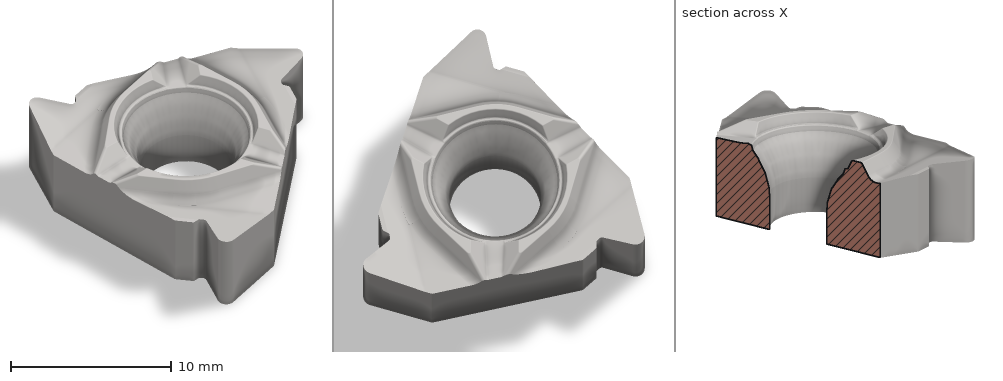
import cadquery as cq
import math

CORNERS = 3
CORNER_ANGLE = 360 / CORNERS

HEIGHT = 6.05
SIDE_DISTANCE = 6.35
FLANK_DISTANCE = 8.25
TIP_RADIUS = 0.57
TIP_REACH = 10.05
NOTCH_Y = 7.22
SHOULDER_Y = 7.57
SHOULDER_START_X = -1.6
NOTCH_END_X = -1.9
NOTCH_RADIUS = 0.25
CORNER_BREAK = 0.15
SIDE_BREAK = 0.25

FLOOR_Z = 4.94
RAKE_START_Y = 5.93
RAKE_ANGLE = 9.6
SHOULDER_FLAT_Y = 7.29
FLOOR_RADIUS = 0.7

BOSS_TOP_DISTANCE = 4.85
BOSS_WALL_ANGLE = 57
BOSS_TURN = 31.7
BOSS_ROUND_CENTER_Y = 0.15
RAKE_BLEND_TURN = 15

SLOT_DIRECTION = 46.8
SLOT_OFFSET = -0.02
SLOT_INNER_RADIUS = 4.1
SLOT_INNER_Z = 5.35
SLOT_TILT = 2
SLOT_INNER_WIDTH = 1.14
SLOT_SIDE_ANGLE = 37
SLOT_FILLET = 0.2
SLOT_EDGE_RADIUS = 0.2
SLOT_START = 2.5
SLOT_END = 9

HOLE_RADIUS = 5.7 / 2
BELL_BOTTOM_Z = 2.3
BELL_TOP_Z = 5.0
BELL_TOP_RADIUS = 3.9
LEDGE_Z = 5.38
LEDGE_INNER_RADIUS = 4.02
LEDGE_OUTER_RADIUS = 4.2
RIM_RADIUS = 4.5
LEDGE_ROUND = 0.1
EDGE_ROUND = 0.08

FAR = 15
TOLERANCE = 0.01


def sin(angle):
    return math.sin(math.radians(angle))


def cos(angle):
    return math.cos(math.radians(angle))


def tan(angle):
    return math.tan(math.radians(angle))


def turned(point, angle):
    x, y = point
    return (x * cos(angle) - y * sin(angle), x * sin(angle) + y * cos(angle))


def at_each_corner(shape):
    copies = shape
    for corner in range(1, CORNERS):
        copies = copies.union(shape.rotate((0, 0, 0), (0, 0, 1), corner * CORNER_ANGLE))
    return copies


def line_crossing(first_angle, first_distance, second_angle, second_distance):
    """Meeting point of two lines given by normal direction and distance from the axis."""
    spread = sin(second_angle - first_angle)
    x = (first_distance * sin(second_angle) - second_distance * sin(first_angle)) / spread
    y = (second_distance * cos(first_angle) - first_distance * cos(second_angle)) / spread
    return (x, y)


LEFT_SIDE = 180
LONG_FLANK = 150
SHORT_FLANK = 30
TOP_FACE = 90
RIGHT_SIDE = LEFT_SIDE - CORNER_ANGLE

TIP_CENTER_DISTANCE = FLANK_DISTANCE - TIP_RADIUS
TIP_CENTER_ALONG = (TIP_REACH - TIP_RADIUS - TIP_CENTER_DISTANCE * cos(SHORT_FLANK)) / sin(SHORT_FLANK)
TIP_CENTER = turned((-TIP_CENTER_ALONG, -TIP_CENTER_DISTANCE), -CORNER_ANGLE)
SHORT_FLANK_DISTANCE = TIP_CENTER[0] * cos(SHORT_FLANK) + TIP_CENTER[1] * sin(SHORT_FLANK) + TIP_RADIUS


def make_body():
    corner_points = [
        line_crossing(LEFT_SIDE, SIDE_DISTANCE, LONG_FLANK, FLANK_DISTANCE),
        line_crossing(LONG_FLANK, FLANK_DISTANCE, SHORT_FLANK, SHORT_FLANK_DISTANCE),
        line_crossing(SHORT_FLANK, SHORT_FLANK_DISTANCE, TOP_FACE, NOTCH_Y),
        (NOTCH_END_X, NOTCH_Y),
        (SHOULDER_START_X, SHOULDER_Y),
        line_crossing(TOP_FACE, SHOULDER_Y, RIGHT_SIDE, SIDE_DISTANCE),
    ]
    radii = [SIDE_BREAK, TIP_RADIUS, NOTCH_RADIUS, CORNER_BREAK, CORNER_BREAK, SIDE_BREAK]
    outline = []
    for corner in range(CORNERS):
        outline += [turned(point, -corner * CORNER_ANGLE) for point in corner_points]
    body = cq.Workplane("XY").polyline(outline).close().extrude(HEIGHT)
    for corner in range(CORNERS):
        for point, radius in zip(corner_points, radii):
            x, y = turned(point, -corner * CORNER_ANGLE)
            edge = cq.selectors.NearestToPointSelector((x, y, HEIGHT / 2))
            body = body.edges(edge).fillet(radius)
    return body


def make_floor():
    """Flat floor with a tooth face rising from it at each corner."""
    rise = (FAR - RAKE_START_Y) * tan(RAKE_ANGLE)
    profile = [(0, 0), (FAR, 0), (FAR, FLOOR_Z + rise), (RAKE_START_Y, FLOOR_Z), (0, FLOOR_Z)]
    tooth_face = cq.Workplane("YZ").polyline(profile).close().extrude(FAR, both=True)
    blend_edge = cq.selectors.NearestToPointSelector((0, RAKE_START_Y, FLOOR_Z))
    tooth_face = tooth_face.edges(blend_edge).fillet(FLOOR_RADIUS)
    notch_start_x = line_crossing(SHORT_FLANK, SHORT_FLANK_DISTANCE, TOP_FACE, NOTCH_Y)[0]
    shoulder_x = (notch_start_x + NOTCH_END_X) / 2
    shoulder_z = FLOOR_Z + (SHOULDER_FLAT_Y - RAKE_START_Y) * tan(RAKE_ANGLE)
    shoulder_cut = cq.Workplane("XY").box(FAR, FAR, HEIGHT, centered=False)
    tooth_face = tooth_face.cut(shoulder_cut.translate((shoulder_x, SHOULDER_FLAT_Y, shoulder_z)))
    flat_floor = cq.Workplane("XY").rect(2 * FAR, 2 * FAR).extrude(FLOOR_Z)
    half_corner = CORNER_ANGLE / 2
    wedge = [(0, 0), turned((0, 2 * FAR), half_corner), turned((0, 2 * FAR), -half_corner)]
    own_corner = cq.Workplane("XY").polyline(wedge).close().extrude(2 * HEIGHT)
    return flat_floor.union(at_each_corner(tooth_face.intersect(own_corner)))


def boss_profile(face_angle):
    """Half section of the boss: sloping wall blended into a face rising at face_angle."""
    run = HEIGHT - FLOOR_Z - (BOSS_TOP_DISTANCE - RAKE_START_Y) * tan(face_angle)
    foot = BOSS_TOP_DISTANCE + run / (tan(BOSS_WALL_ANGLE) + tan(face_angle))
    foot_z = HEIGHT - (foot - BOSS_TOP_DISTANCE) * tan(BOSS_WALL_ANGLE)
    half_turn = (BOSS_WALL_ANGLE + face_angle) / 2
    tangent = FLOOR_RADIUS * tan(half_turn)
    wall_end = (foot - tangent * cos(BOSS_WALL_ANGLE), foot_z + tangent * sin(BOSS_WALL_ANGLE))
    face_end = (foot + tangent * cos(face_angle), foot_z + tangent * sin(face_angle))
    reach = FLOOR_RADIUS / cos(half_turn) - FLOOR_RADIUS
    bisector = (face_angle + 180 - BOSS_WALL_ANGLE) / 2
    arc_middle = (foot + reach * cos(bisector), foot_z + reach * sin(bisector))
    return (
        cq.Workplane("YZ").moveTo(BOSS_ROUND_CENTER_Y, 0).lineTo(BOSS_ROUND_CENTER_Y, HEIGHT)
        .lineTo(BOSS_TOP_DISTANCE, HEIGHT).lineTo(*wall_end)
        .threePointArc(arc_middle, face_end).lineTo(face_end[0], 0).close()
    )


def make_boss():
    round_axis = ((BOSS_ROUND_CENTER_Y, 0, 0), (BOSS_ROUND_CENTER_Y, 1, 0))

    def turned_about_round(shape, angle):
        return shape.rotate((0, BOSS_ROUND_CENTER_Y, 0), (0, BOSS_ROUND_CENTER_Y, 1), angle)

    rake_wall = boss_profile(RAKE_ANGLE).extrude(FAR)
    floor_wall = turned_about_round(boss_profile(0).extrude(-FAR), BOSS_TURN)
    half_gap = (CORNER_ANGLE - BOSS_TURN) / 2
    sector_angles = (BOSS_TURN + half_gap, BOSS_TURN / 2, -half_gap)
    sector = [(0, 0)] + [turned((0, 2 * FAR), angle) for angle in sector_angles]
    corner = rake_wall.union(floor_wall).intersect(cq.Workplane("XY").polyline(sector).close().extrude(HEIGHT))
    rake_round = boss_profile(RAKE_ANGLE).revolve(RAKE_BLEND_TURN, *round_axis)
    floor_round = boss_profile(0).revolve(BOSS_TURN - RAKE_BLEND_TURN, *round_axis)
    floor_round = turned_about_round(floor_round, RAKE_BLEND_TURN)
    return at_each_corner(corner.union(rake_round).union(floor_round))


def make_slots():
    half_floor = SLOT_INNER_WIDTH / 2
    half_top = half_floor + (HEIGHT - SLOT_INNER_Z) / tan(SLOT_SIDE_ANGLE)
    v_depth = half_top * tan(SLOT_SIDE_ANGLE)
    section = [(-half_top, HEIGHT), (0, HEIGHT - v_depth), (half_top, HEIGHT)]
    sides = cq.Workplane("YZ").polyline(section).close().extrude(SLOT_END - SLOT_START)
    floor_start_z = SLOT_INNER_Z + (SLOT_INNER_RADIUS - SLOT_START) * tan(SLOT_TILT)
    floor_end_z = floor_start_z - (SLOT_END - SLOT_START) * tan(SLOT_TILT)
    above_floor = (
        cq.Workplane("XZ").moveTo(0, floor_start_z).lineTo(SLOT_END - SLOT_START, floor_end_z)
        .lineTo(SLOT_END - SLOT_START, HEIGHT).lineTo(0, HEIGHT).close().extrude(half_top, both=True)
    )
    slot = sides.intersect(above_floor)
    slot = slot.faces("<Z").edges("not(|Y)").fillet(SLOT_FILLET)
    slot = slot.translate((SLOT_START, SLOT_OFFSET, 0))
    return at_each_corner(slot.rotate((0, 0, 0), (0, 0, 1), SLOT_DIRECTION))


def edges_where(shape, test):
    return shape.newObject([edge for edge in shape.edges().vals() if test(edge)])


def radius_at(point):
    return math.hypot(point.x, point.y)


def is_ledge_circle(edge, radius):
    start = edge.startPoint()
    return abs(start.z - LEDGE_Z) < TOLERANCE and abs(radius_at(start) - radius) < TOLERANCE


def make_hole():
    rise = BELL_TOP_Z - BELL_BOTTOM_Z
    spread = BELL_TOP_RADIUS - HOLE_RADIUS
    bell_radius = (rise ** 2 + spread ** 2) / (2 * spread)
    half_sweep = math.degrees(math.atan2(spread, rise))
    bell_middle = (
        HOLE_RADIUS + bell_radius * (1 - cos(half_sweep)),
        BELL_BOTTOM_Z + bell_radius * sin(half_sweep),
    )
    hole = (
        cq.Workplane("XZ").lineTo(HOLE_RADIUS, 0).lineTo(HOLE_RADIUS, BELL_BOTTOM_Z)
        .threePointArc(bell_middle, (BELL_TOP_RADIUS, BELL_TOP_Z))
        .lineTo(LEDGE_INNER_RADIUS, LEDGE_Z).lineTo(LEDGE_OUTER_RADIUS, LEDGE_Z)
        .lineTo(RIM_RADIUS, HEIGHT).lineTo(0, HEIGHT).close()
        .revolve(360, (0, 0, 0), (0, 1, 0))
    )
    for ledge_radius in (LEDGE_INNER_RADIUS, LEDGE_OUTER_RADIUS):
        hole = edges_where(hole, lambda edge: is_ledge_circle(edge, ledge_radius)).fillet(LEDGE_ROUND)
    return hole


def drops_from_boss_top(edge):
    """True for an edge with one end on the top face of the boss and one below it."""
    heights = [vertex.Center().z for vertex in edge.Vertices()]
    return max(heights) > HEIGHT - TOLERANCE and min(heights) < HEIGHT - TOLERANCE


def upper_end_radius(edge):
    return radius_at(max((vertex.Center() for vertex in edge.Vertices()), key=lambda point: point.z))


def is_outer_slot_edge(edge):
    """Edge between a slot side and a sloping boss wall."""
    is_straight = edge.geomType() == "LINE"
    return is_straight and drops_from_boss_top(edge) and upper_end_radius(edge) > BOSS_TOP_DISTANCE + TOLERANCE


def is_inner_slot_edge(edge):
    """Edge between a slot side and the hole mouth."""
    return drops_from_boss_top(edge) and upper_end_radius(edge) < RIM_RADIUS + TOLERANCE


def round_boss(part):
    part = edges_where(part, is_outer_slot_edge).fillet(SLOT_EDGE_RADIUS)
    part = edges_where(part, is_inner_slot_edge).fillet(EDGE_ROUND)
    return part.faces(">Z").edges().fillet(EDGE_ROUND)


upper_shape = make_floor().union(make_boss().cut(make_slots()))
result = round_boss(make_body().intersect(upper_shape).cut(make_hole()))